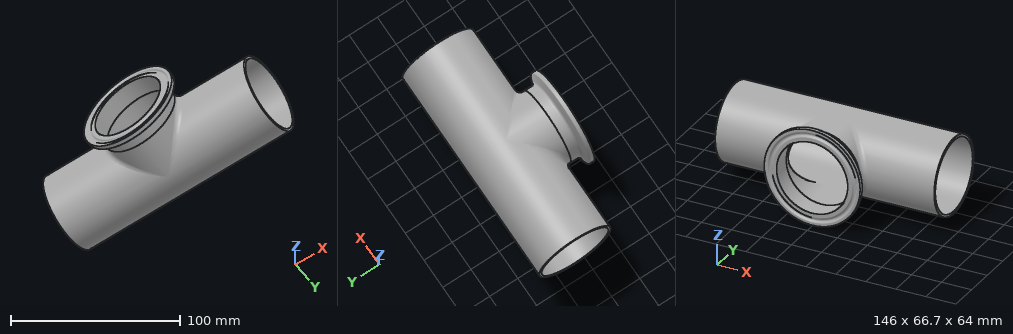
import cadquery as cq
import math

run_length = 146.0
tube_radius = 50.8 / 2
bore_radius = 47.5 / 2
crotch_fillet = 3.4

face_distance = 41.3
ferrule_length = 12.4
flange_radius = 64.0 / 2
rim_thickness = 3.0
taper_angle = math.radians(20)
neck_fillet = 1.9
rim_fillet = 0.9

groove_radius = 28.2
groove_half_width = 1.9
channel_radius = 1.3
lip_radius = 0.9

branch_length = face_distance - ferrule_length


def tee_shape(radius):
    """Solid run and branch of one radius, blended where they cross."""
    run = cq.Workplane("YZ").circle(radius).extrude(run_length / 2, both=True)
    branch = cq.Workplane("XZ").circle(radius).extrude(branch_length)
    shape = run.union(branch)
    crossing = shape.edges("%ELLIPSE")
    return crossing.fillet(crotch_fillet)


def make_tee():
    outside = tee_shape(tube_radius)
    return outside.cut(tee_shape(bore_radius))


def circle_at(y):
    """Selector for the ferrule edge lying in the plane at this Y."""
    reach = 2 * flange_radius
    tolerance = 0.1
    return cq.selectors.BoxSelector(
        (-reach, y - tolerance, -reach),
        (reach, y + tolerance, reach),
        boundingbox=True,
    )


def make_ferrule():
    """Revolved ferrule; sketch X is radius, sketch Y is the branch axis."""
    face_y = -face_distance
    rim_back_y = face_y + rim_thickness
    neck_y = rim_back_y + (flange_radius - tube_radius) * math.tan(taper_angle)
    profile = (
        cq.Workplane("XY")
        .moveTo(bore_radius, face_y)
        .lineTo(flange_radius, face_y)
        .lineTo(flange_radius, rim_back_y)
        .lineTo(tube_radius, neck_y)
        .lineTo(tube_radius, -branch_length)
        .lineTo(bore_radius, -branch_length)
        .close()
    )
    body = profile.revolve(360, (0, 0, 0), (0, 1, 0))
    body = body.edges(circle_at(neck_y)).fillet(neck_fillet)
    body = body.edges(circle_at(rim_back_y)).fillet(rim_fillet)
    return body.cut(make_groove())


def make_groove():
    """Ring cutter: channel arc that runs tangentially into the two lip arcs."""
    face_y = -face_distance
    lip_turn = math.asin(groove_half_width / (channel_radius + lip_radius))
    depth = (channel_radius + lip_radius) * (1 - math.cos(lip_turn))
    join_offset = channel_radius * math.sin(lip_turn)
    join_y = face_y + lip_radius * (1 - math.cos(lip_turn))
    mid_offset = groove_half_width - lip_radius * math.sin(lip_turn / 2)
    mid_y = face_y + lip_radius * (1 - math.cos(lip_turn / 2))
    profile = (
        cq.Workplane("XY")
        .moveTo(groove_radius - groove_half_width, face_y)
        .threePointArc((groove_radius - mid_offset, mid_y), (groove_radius - join_offset, join_y))
        .threePointArc((groove_radius, face_y + depth), (groove_radius + join_offset, join_y))
        .threePointArc((groove_radius + mid_offset, mid_y), (groove_radius + groove_half_width, face_y))
        .close()
    )
    return profile.revolve(360, (0, 0, 0), (0, 1, 0))


tee = make_tee()
ferrule = make_ferrule()
result = cq.Compound.makeCompound([tee.val(), ferrule.val()])